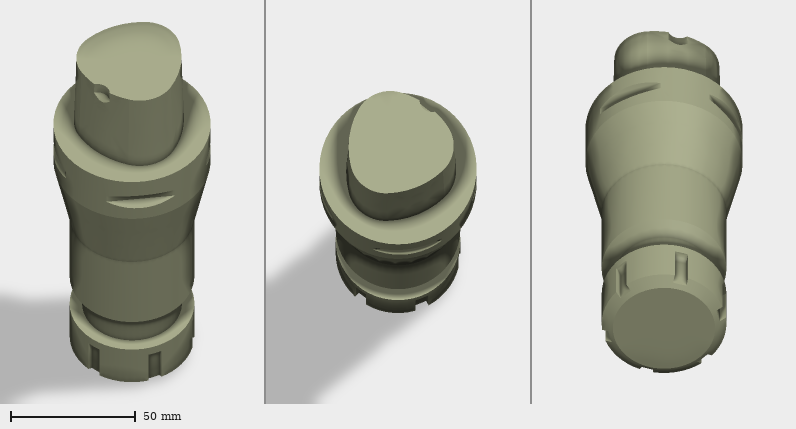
import math

import cadquery as cq


flange_diameter = 63.0
flange_height = 22.0
body_diameter = 50.0
body_start = 55.0
body_end = 91.0
neck_diameter = 40.0
neck_start = body_end + (body_diameter - neck_diameter) / 2
nut_diameter = 50.0
nut_height = 22.5
total_depth = 130.0
nut_chamfer_height = 3.0
nut_end_diameter = 41.0

shank_length = 38.0
shank_band_height = 3.0
lobe_count = 3
lobe_centre_distance = 8.0
flank_centre_distance = 13.8
lobe_radius_base = 15.35
lobe_radius_top = 14.4

notch_radius = 5.0
notch_height = 5.0
notch_axis_y = -22.6

groove_count = 4
groove_first_angle = 45.0
groove_depth_below_face = 12.0
groove_floor_radius = 28.3
groove_floor_width = 3.3
groove_mouth_width = 7.5

slot_count = 6
slot_first_angle = 30.0
slot_width = 5.6
slot_floor_radius = 22.3
slot_fillet_radius = 3.0
slot_top_gap = 4.0


def polar(radius, angle):
    """Point at a radius and an angle in degrees."""
    return radius * math.cos(math.radians(angle)), radius * math.sin(math.radians(angle))


def turned_body():
    """Flange, taper, cylinder, neck and nut as one revolved profile."""
    profile = [
        (0, 0),
        (flange_diameter / 2, 0),
        (flange_diameter / 2, -flange_height),
        (body_diameter / 2, -body_start),
        (body_diameter / 2, -body_end),
        (neck_diameter / 2, -neck_start),
        (neck_diameter / 2, -(total_depth - nut_height)),
        (nut_diameter / 2, -(total_depth - nut_height)),
        (nut_diameter / 2, -(total_depth - nut_chamfer_height)),
        (nut_end_diameter / 2, -total_depth),
        (0, -total_depth),
    ]
    return cq.Workplane("XZ").polyline(profile).close().revolve(360, (0, 0), (0, 1))


def lobed_wire(lobe_radius, z):
    """Closed three-lobed outline at height z, with one lobe pointing to +Y."""
    half_pitch = 180 / lobe_count
    centre_dx = lobe_centre_distance + flank_centre_distance * math.cos(math.radians(half_pitch))
    centre_dy = flank_centre_distance * math.sin(math.radians(half_pitch))
    joint_normal = math.degrees(math.atan2(centre_dy, centre_dx))
    flank_radius = lobe_radius + math.hypot(centre_dx, centre_dy)
    joint_x = lobe_centre_distance + lobe_radius * math.cos(math.radians(joint_normal))
    joint_y = lobe_radius * math.sin(math.radians(joint_normal))
    joint_distance = math.hypot(joint_x, joint_y)
    joint_angle = math.degrees(math.atan2(joint_y, joint_x))

    lobe_angles = [90 + index * 360 / lobe_count for index in range(lobe_count)]
    outline = cq.Workplane("XY", origin=(0, 0, z))
    outline = outline.moveTo(*polar(joint_distance, lobe_angles[0] - joint_angle))
    for angle in lobe_angles:
        lobe_tip = polar(lobe_centre_distance + lobe_radius, angle)
        lobe_end = polar(joint_distance, angle + joint_angle)
        flank_middle = polar(flank_radius - flank_centre_distance, angle + half_pitch)
        next_lobe_start = polar(joint_distance, angle + 2 * half_pitch - joint_angle)
        outline = outline.threePointArc(lobe_tip, lobe_end)
        outline = outline.threePointArc(flank_middle, next_lobe_start)
    return outline.close().wire().val()


def shank():
    """Straight band at the flange followed by the tapered three-lobed shank."""
    base = lobed_wire(lobe_radius_base, 0)
    taper_start = lobed_wire(lobe_radius_base, shank_band_height)
    taper_end = lobed_wire(lobe_radius_top, shank_length)
    band = cq.Solid.makeLoft([base, taper_start], True)
    taper = cq.Solid.makeLoft([taper_start, taper_end], True)
    return cq.Workplane(band).union(cq.Workplane(taper))


def notch_cutter():
    """Round cutter with a 45 degree conical tip, parallel to the axis."""
    notch_floor = shank_length - notch_height
    profile = [
        (0, shank_length),
        (notch_radius, shank_length),
        (notch_radius, notch_floor),
        (0, notch_floor - notch_radius),
    ]
    cutter = cq.Workplane("XZ").polyline(profile).close().revolve(360, (0, 0), (0, 1))
    return cutter.translate((0, notch_axis_y, 0))


def gripper_groove_cutter():
    """Straight trapezoidal groove across the +X side of the flange."""
    flange_radius = flange_diameter / 2
    depth = flange_radius - groove_floor_radius
    outer_half_width = groove_mouth_width - groove_floor_width / 2
    profile = [
        (groove_floor_radius, -groove_floor_width / 2),
        (flange_radius + depth, -outer_half_width),
        (flange_radius + depth, outer_half_width),
        (groove_floor_radius, groove_floor_width / 2),
    ]
    cutter = cq.Workplane("XZ").polyline(profile).close().extrude(flange_radius, both=True)
    return cutter.translate((0, 0, -groove_depth_below_face))


def spanner_slot_cutter():
    """Slot on the +X side of the nut, open below, with a filleted upper end."""
    slot_top = -(total_depth - nut_height) - slot_top_gap
    slot_length = total_depth + slot_top
    radial_size = nut_diameter / 2
    cutter = cq.Workplane("XY").box(radial_size, slot_width, slot_length, centered=(False, True, False))
    cutter = cutter.edges("<X and >Z").fillet(slot_fillet_radius)
    return cutter.translate((slot_floor_radius, 0, -total_depth))


def cut_around_axis(part, cutter, count, first_angle):
    """Cut equally spaced copies of a cutter around Z."""
    for index in range(count):
        angle = first_angle + index * 360 / count
        part = part.cut(cutter.rotate((0, 0, 0), (0, 0, 1), angle))
    return part


holder = turned_body().union(shank())
holder = holder.cut(notch_cutter())
holder = cut_around_axis(holder, gripper_groove_cutter(), groove_count, groove_first_angle)
holder = cut_around_axis(holder, spanner_slot_cutter(), slot_count, slot_first_angle)

result = holder